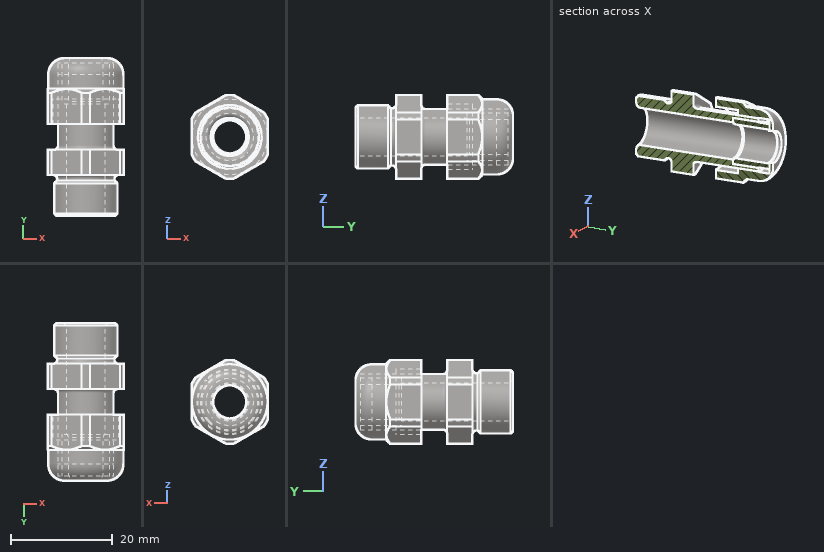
import cadquery as cq
import math


ACROSS_FLATS = 15.0
CORNER_RADIUS = 8.25

THREAD_CHAMFER = 0.5
THREAD_END = 6.4
COLLAR_START = 8.0
COLLAR_LENGTH = 5.0
NECK_START = COLLAR_START + COLLAR_LENGTH

THREAD_RADIUS = 6.23
RELIEF_RADIUS = 5.65
NECK_RADIUS = 5.5
COLLAR_FILLET = 0.75
BORE_RADIUS = 3.75
BORE_MOUTH_FILLET = 1.0

CAP_START = 18.0
CAP_HEX_LENGTH = 6.98
CAP_HEX_END = CAP_START + CAP_HEX_LENGTH
CAP_END = 31.0
CAP_RADIUS = 7.4
DOME_RADIUS = 3.3
DOME_START = CAP_END - DOME_RADIUS
CAP_ENTRY_RADIUS = 6.42
CAP_ENTRY_DEPTH = 4.95
CAP_OPENING_RADIUS = 3.22
CAP_LIP_THICKNESS = 1.0
CAP_LIP_FACE = CAP_END - CAP_LIP_THICKNESS

SEAL_OUTER_RADIUS = 4.65
SEAL_BORE_RADIUS = 3.4
SEAL_FUNNEL_WIDTH = 0.2
SEAL_FUNNEL_DEPTH = 0.5
SEAL_LENGTH = 8.05
SEAL_START = CAP_LIP_FACE - SEAL_LENGTH


def revolve_about_y(profile):
    """Turn a closed (radius, Y) profile once around the Y axis."""
    return profile.close().revolve(360, (0, 0, 0), (0, 1, 0))


def cylinder(radius, start, end):
    """Solid cylinder along Y between two positions."""
    return revolve_about_y(
        cq.Workplane("XY").moveTo(0, start).lineTo(radius, start).lineTo(radius, end).lineTo(0, end)
    )


def hexagon(start, end):
    """Hexagonal prism along Y with flats facing +X and -X and its corners turned round."""
    across_corners = ACROSS_FLATS / math.cos(math.pi / 6)
    prism = (
        cq.Workplane("XZ", origin=(0, start, 0))
        .transformed(rotate=(0, 0, 30))
        .polygon(6, across_corners)
        .extrude(start - end)
    )
    return prism.intersect(cylinder(CORNER_RADIUS, start, end))


def make_body():
    """Threaded end, relief groove, hexagonal collar and neck, bored through."""
    relief_start = THREAD_END + THREAD_RADIUS - RELIEF_RADIUS
    relief_end = COLLAR_START - COLLAR_FILLET
    fillet_middle = COLLAR_FILLET * (1 - math.sqrt(0.5))
    shaft = revolve_about_y(
        cq.Workplane("XY")
        .moveTo(0, 0)
        .lineTo(THREAD_RADIUS - THREAD_CHAMFER, 0)
        .lineTo(THREAD_RADIUS, THREAD_CHAMFER)
        .lineTo(THREAD_RADIUS, THREAD_END)
        .lineTo(RELIEF_RADIUS, relief_start)
        .lineTo(RELIEF_RADIUS, relief_end)
        .threePointArc(
            (RELIEF_RADIUS + fillet_middle, COLLAR_START - fillet_middle),
            (RELIEF_RADIUS + COLLAR_FILLET, COLLAR_START),
        )
        .lineTo(NECK_RADIUS + COLLAR_FILLET, NECK_START)
        .threePointArc(
            (NECK_RADIUS + fillet_middle, NECK_START + fillet_middle),
            (NECK_RADIUS, NECK_START + COLLAR_FILLET),
        )
        .lineTo(NECK_RADIUS, DOME_START)
        .lineTo(0, DOME_START)
    )
    collar = hexagon(COLLAR_START, NECK_START)
    bore = cylinder(BORE_RADIUS, 0, DOME_START)
    seal_seat = cylinder(SEAL_OUTER_RADIUS, SEAL_START, DOME_START)
    body = shaft.union(collar).cut(bore).cut(seal_seat)
    bore_mouth = cq.selectors.RadiusNthSelector(0)
    return body.faces("<Y").edges(bore_mouth).fillet(BORE_MOUTH_FILLET)


def make_cap():
    """Domed cap nut: chamfered hexagon, round crown, neck bore and cable opening."""
    hex_chamfer = CORNER_RADIUS - CAP_RADIUS
    chamfer_envelope = revolve_about_y(
        cq.Workplane("XY")
        .moveTo(0, CAP_START)
        .lineTo(CORNER_RADIUS, CAP_START)
        .lineTo(CORNER_RADIUS, CAP_HEX_END - hex_chamfer)
        .lineTo(CAP_RADIUS, CAP_HEX_END)
        .lineTo(0, CAP_HEX_END)
    )
    grip = hexagon(CAP_START, CAP_HEX_END).intersect(chamfer_envelope)
    crown = cylinder(CAP_RADIUS, CAP_START, CAP_END).faces(">Y").edges().fillet(DOME_RADIUS)
    entry = cylinder(CAP_ENTRY_RADIUS, CAP_START, CAP_START + CAP_ENTRY_DEPTH)
    neck_bore = cylinder(NECK_RADIUS, CAP_START, CAP_LIP_FACE)
    opening = cylinder(CAP_OPENING_RADIUS, CAP_START, CAP_END)
    return grip.union(crown).cut(entry).cut(neck_bore).cut(opening)


def make_seal():
    """Tube seated in the neck and held by the cap lip, with a funnel at its -Y end."""
    return revolve_about_y(
        cq.Workplane("XY")
        .moveTo(SEAL_BORE_RADIUS + SEAL_FUNNEL_WIDTH, SEAL_START)
        .lineTo(SEAL_OUTER_RADIUS, SEAL_START)
        .lineTo(SEAL_OUTER_RADIUS, CAP_LIP_FACE)
        .lineTo(SEAL_BORE_RADIUS, CAP_LIP_FACE)
        .lineTo(SEAL_BORE_RADIUS, SEAL_START + SEAL_FUNNEL_DEPTH)
    )


body = make_body()
cap = make_cap()
seal = make_seal()

result = cq.Compound.makeCompound([body.val(), cap.val(), seal.val()])